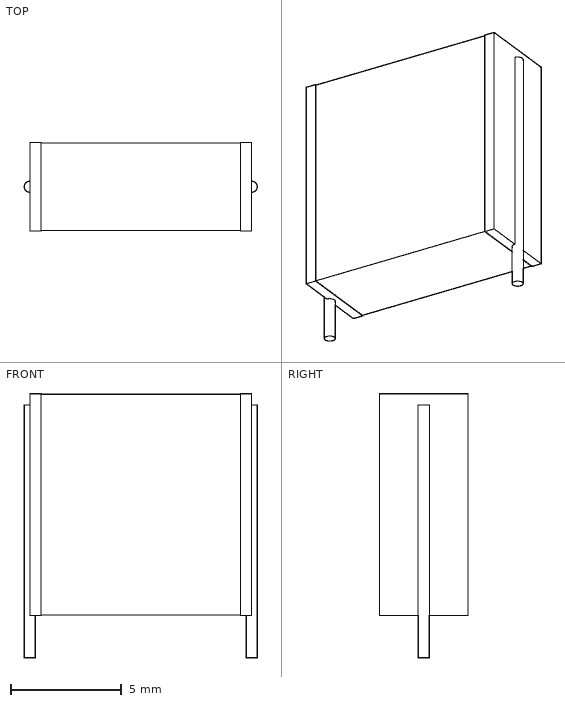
import cadquery as cq

block_length = 10.0
block_width = 4.0
block_height = 10.0

cap_thickness = 0.5
cap_overhang = 0.02

lead_diameter = 0.5
lead_top_gap = 0.5
lead_protrusion = 1.9

body_length = block_length - 2 * cap_thickness
body_width = block_width - 2 * cap_overhang
body_height = block_height - 2 * cap_overhang
lead_length = block_height - lead_top_gap + lead_protrusion


def make_body():
    """Plain block between the caps, with the underside of the caps at Z = 0."""
    return cq.Workplane("XY").box(body_length, body_width, body_height).translate((0, 0, block_height / 2))


def make_cap(side):
    """Rectangular end cap; side is -1 or +1 along X."""
    center_x = side * (block_length - cap_thickness) / 2
    cap = cq.Workplane("XY").box(cap_thickness, block_width, block_height)
    return cap.translate((center_x, 0, block_height / 2))


def make_lead(side):
    """Vertical lead, half sunk into the cap's outer face and running past its underside."""
    lead = cq.Workplane("XY").circle(lead_diameter / 2).extrude(lead_length)
    return lead.translate((side * block_length / 2, 0, -lead_protrusion))


result = make_body()
for side in (-1, 1):
    result = result.union(make_cap(side)).union(make_lead(side))